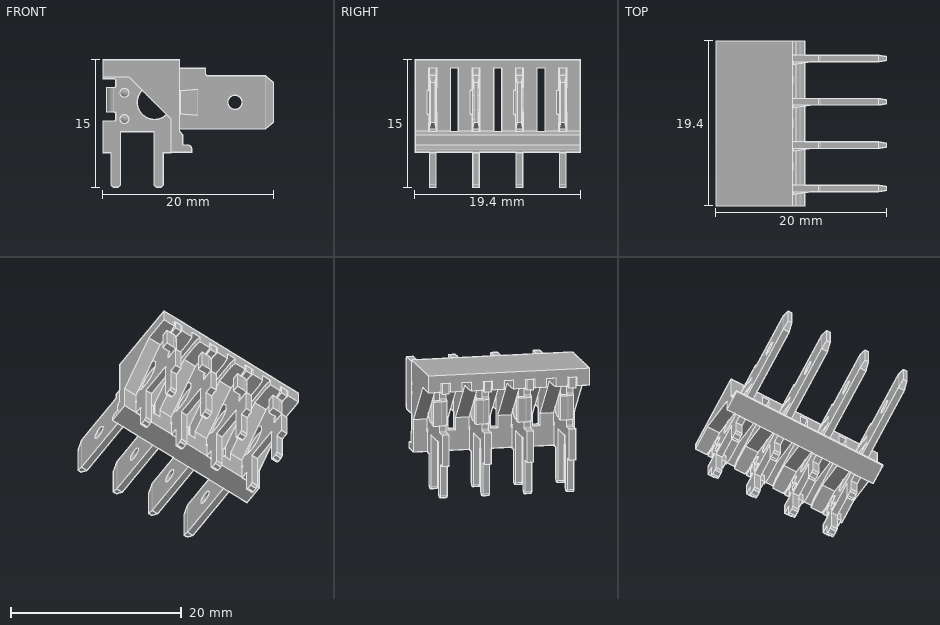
import cadquery as cq

overall_height = 15.0
terminal_count = 4
pitch = 5.08
sheet = 0.8

housing_length = 19.35
housing_depth = 9.0
housing_height = 10.88
roof_thickness = 2.05
wall_back_x = 7.95
slope = 4.92
step_top = 2.48
step_drop = 0.48
step_reach = 0.38
lip_thickness = 0.88
lip_reach = 10.45
lip_radius = 0.55

slot_width = 0.9
slot_mouth_width = 1.12
slot_mouth_depth = 0.85
slot_bottom = 2.45
slot_top = 9.88

blade_tip_x = 20.0
blade_width = 6.28
blade_bottom = 2.72
blade_top = blade_bottom + blade_width
blade_middle = blade_bottom + blade_width / 2
shoulder_x = 12.05
shoulder_radius = 0.2
tip_length = 0.95
tip_inset = 0.8
tip_thickness = 0.48
blade_hole_x = 15.48
blade_hole_diameter = 1.65

window_x = 6.05
window_diameter = 4.0
foot_bottom = -0.08
leg_bottom = housing_height - overall_height
leg_width = 1.12
leg_positions = (1.5, 6.55)
leg_arch = 2.4
leg_chamfer = 0.28

notch_depth = 1.5
notch_bottom = 3.68
notch_top = 8.6
notch_radius = 0.15
tab_bottom = 4.7
tab_top = 7.6
tab_back_x = 0.4
tab_reach = 0.95
bend_radius = 0.85

dimple_x = 2.52
dimple_heights = (3.9, 6.98)
dimple_diameter = 1.05
dimple_height = 0.2
lance_gap = 0.08
lance_root_x = 11.08
lance_end_half = 1.35
lance_root_half = 1.52
lance_lift = 0.3


def block(x0, x1, y0, y1, z0, z1):
    return cq.Workplane("XY").box(x1 - x0, y1 - y0, z1 - z0, centered=False).translate((x0, y0, z0))


def plate(outline, thickness):
    """Extrude an XZ outline symmetrically about Y = 0."""
    return outline.extrude(thickness / 2, both=True)


def make_slot():
    """Slot through the housing, tapered open at the rear."""
    half = slot_width / 2
    mouth_half = slot_mouth_width / 2
    return (
        cq.Workplane("XY", origin=(0, 0, slot_bottom))
        .moveTo(0, -mouth_half)
        .lineTo(slot_mouth_depth, -half)
        .lineTo(lip_reach, -half)
        .lineTo(lip_reach, half)
        .lineTo(slot_mouth_depth, half)
        .lineTo(0, mouth_half)
        .close()
        .extrude(slot_top - slot_bottom)
    )


def make_housing():
    roof_bottom = housing_height - roof_thickness
    outline = (
        cq.Workplane("XZ")
        .moveTo(0, housing_height)
        .lineTo(housing_depth, housing_height)
        .lineTo(housing_depth, step_top)
        .lineTo(housing_depth + step_reach, step_top - step_drop)
        .lineTo(housing_depth + step_reach, lip_thickness)
        .lineTo(lip_reach - lip_radius, lip_thickness)
        .radiusArc((lip_reach, lip_thickness - lip_radius), lip_radius)
        .lineTo(lip_reach, 0)
        .lineTo(wall_back_x, 0)
        .lineTo(wall_back_x, roof_bottom - slope)
        .lineTo(wall_back_x - slope, roof_bottom)
        .lineTo(0, roof_bottom)
        .close()
    )
    housing = plate(outline, housing_length)
    slot = make_slot()
    slot_count = 2 * terminal_count - 1
    for i in range(slot_count):
        y = (i - (slot_count - 1) / 2) * pitch / 2
        housing = housing.cut(slot.translate((0, y, 0)))
    return housing


def make_sheet():
    blade = plate(
        cq.Workplane("XZ")
        .moveTo(0, slot_top)
        .lineTo(shoulder_x, slot_top)
        .lineTo(shoulder_x, blade_top + shoulder_radius)
        .radiusArc((shoulder_x + shoulder_radius, blade_top), -shoulder_radius)
        .lineTo(blade_tip_x - tip_length, blade_top)
        .lineTo(blade_tip_x, blade_top - tip_inset)
        .lineTo(blade_tip_x, blade_bottom + tip_inset)
        .lineTo(blade_tip_x - tip_length, blade_bottom)
        .lineTo(wall_back_x, blade_bottom)
        .lineTo(wall_back_x, foot_bottom)
        .lineTo(0, foot_bottom)
        .close(),
        sheet,
    )
    for x, diameter in ((blade_hole_x, blade_hole_diameter), (window_x, window_diameter)):
        hole = cq.Workplane("XZ").center(x, blade_middle).circle(diameter / 2)
        blade = blade.cut(plate(hole, sheet))
    return blade


def make_tip_envelope():
    """Plan outline that thins the blade towards its tip."""
    return (
        cq.Workplane("XY", origin=(0, 0, leg_bottom))
        .moveTo(0, -sheet / 2)
        .lineTo(blade_tip_x - tip_length, -sheet / 2)
        .lineTo(blade_tip_x, -tip_thickness / 2)
        .lineTo(blade_tip_x, tip_thickness / 2)
        .lineTo(blade_tip_x - tip_length, sheet / 2)
        .lineTo(0, sheet / 2)
        .close()
        .extrude(housing_height - leg_bottom)
    )


def make_leg(x):
    leg = block(x - leg_width / 2, x + leg_width / 2, -sheet / 2, sheet / 2, leg_bottom, leg_arch)
    return leg.faces("<Z").edges("|Y").chamfer(leg_chamfer)


def make_notch(bottom, top):
    notch = block(0, notch_depth, -sheet / 2, sheet / 2, bottom, top)
    return notch.edges("|Y and >X").fillet(notch_radius)


def make_tab():
    """Tab bent from the sheet towards +Y."""
    front = -sheet / 2
    inner_radius = bend_radius - sheet
    return (
        cq.Workplane("XY", origin=(0, 0, tab_bottom))
        .moveTo(notch_depth, front)
        .lineTo(tab_back_x + bend_radius, front)
        .radiusArc((tab_back_x, front + bend_radius), bend_radius)
        .lineTo(tab_back_x, sheet / 2 + tab_reach)
        .lineTo(tab_back_x + sheet, sheet / 2 + tab_reach)
        .lineTo(tab_back_x + sheet, front + bend_radius)
        .radiusArc((tab_back_x + bend_radius, front + sheet), -inner_radius)
        .lineTo(notch_depth, sheet / 2)
        .close()
        .extrude(tab_top - tab_bottom)
    )


def make_dimple(z):
    """Shallow dome standing on the -Y face."""
    half = dimple_diameter / 2
    radius = (half**2 + dimple_height**2) / (2 * dimple_height)
    return (
        cq.Workplane("XY", origin=(dimple_x, -sheet / 2, z))
        .lineTo(half, 0)
        .radiusArc((0, -dimple_height), radius)
        .close()
        .revolve(360, (0, 0, 0), (0, 1, 0))
    )


def make_lance():
    """Wedge that rises from the -Y face towards the housing."""
    end_x = housing_depth + lance_gap
    wedge = (
        cq.Workplane("XY", origin=(0, -sheet / 2, blade_bottom))
        .moveTo(end_x, 0)
        .lineTo(end_x, -lance_lift)
        .lineTo(lance_root_x, 0)
        .close()
        .extrude(blade_width)
    )
    outline = (
        cq.Workplane("XZ")
        .moveTo(end_x, blade_middle - lance_end_half)
        .lineTo(end_x, blade_middle + lance_end_half)
        .lineTo(lance_root_x, blade_middle + lance_root_half)
        .lineTo(lance_root_x, blade_middle - lance_root_half)
        .close()
    )
    return wedge.intersect(plate(outline, sheet + 2 * lance_lift))


def make_terminal():
    terminal = make_sheet().intersect(make_tip_envelope())
    arch_start = leg_positions[0] + leg_width / 2
    arch_end = leg_positions[1] - leg_width / 2
    terminal = terminal.cut(block(arch_start, arch_end, -sheet / 2, sheet / 2, foot_bottom, leg_arch))
    for x in leg_positions:
        terminal = terminal.union(make_leg(x))
    terminal = terminal.cut(block(0, tab_back_x + bend_radius, -sheet / 2, sheet / 2, notch_bottom, notch_top))
    terminal = terminal.cut(make_notch(notch_bottom, tab_bottom))
    terminal = terminal.cut(make_notch(tab_top, notch_top))
    terminal = terminal.union(make_tab())
    for z in dimple_heights:
        terminal = terminal.union(make_dimple(z))
    return terminal.union(make_lance())


housing = make_housing()
terminal = make_terminal()
terminals = []
for i in range(terminal_count):
    y = (i - (terminal_count - 1) / 2) * pitch
    terminals.append(terminal.translate((0, y, 0)).val())

result = cq.Compound.makeCompound([housing.val(), *terminals])